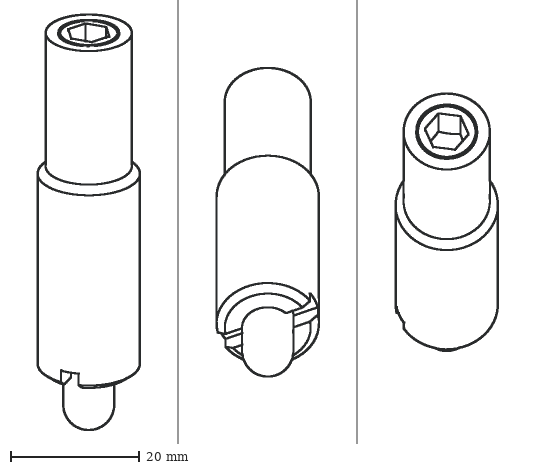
import cadquery as cq
import math

TOTAL_LENGTH = 68.0
TIP_PROTRUSION = 10.0

BODY_DIAMETER = 16.0
NECK_RADIUS = 6.7
NECK_LENGTH = 23.0
BOTTOM_CHAMFER_HEIGHT = 1.0
BOTTOM_CHAMFER_WIDTH = 1.3
SLOT_WIDTH = 3.0
SLOT_DEPTH = 3.0

TIP_RADIUS = 4.0
SCREW_RADIUS = 4.75
SCREW_LENGTH = 50.0
RIM_STEP_WIDTH = 0.3
RIM_STEP_DEPTH = 0.15

HEX_ACROSS_FLATS = 6.0
HEX_DEPTH = 6.0
CONE_ANGLE = 118.0

BODY_RADIUS = BODY_DIAMETER / 2
SHOULDER_WIDTH = BODY_RADIUS - NECK_RADIUS
NECK_BASE_HEIGHT = TOTAL_LENGTH - NECK_LENGTH
SCREW_BASE_HEIGHT = TOTAL_LENGTH - SCREW_LENGTH


def bore():
    """Stepped bore: a close fit around the screw and the tip shank."""
    shank_hole = cq.Workplane("XY").circle(TIP_RADIUS).extrude(SCREW_BASE_HEIGHT)
    screw_hole = (
        cq.Workplane("XY")
        .workplane(offset=SCREW_BASE_HEIGHT)
        .circle(SCREW_RADIUS)
        .extrude(SCREW_LENGTH)
    )
    return shank_hole.union(screw_hole)


def cross_slot():
    """Slot across the bottom of the housing, open towards -Y and +Y."""
    return (
        cq.Workplane("XY")
        .workplane(offset=TIP_PROTRUSION)
        .rect(SLOT_WIDTH, BODY_DIAMETER)
        .extrude(SLOT_DEPTH)
    )


def make_housing():
    """Sleeve with a thinner neck, a conical shoulder and a chamfered bottom."""
    turned = (
        cq.Workplane("XZ")
        .moveTo(0, TIP_PROTRUSION)
        .lineTo(BODY_RADIUS - BOTTOM_CHAMFER_WIDTH, TIP_PROTRUSION)
        .lineTo(BODY_RADIUS, TIP_PROTRUSION + BOTTOM_CHAMFER_HEIGHT)
        .lineTo(BODY_RADIUS, NECK_BASE_HEIGHT - SHOULDER_WIDTH)
        .lineTo(NECK_RADIUS, NECK_BASE_HEIGHT)
        .lineTo(NECK_RADIUS, TOTAL_LENGTH)
        .lineTo(0, TOTAL_LENGTH)
        .close()
        .revolve(360, (0, 0), (0, 1))
    )
    return turned.cut(bore()).cut(cross_slot())


def hex_socket():
    """Hexagonal hole whose floor is a cone, cut to the hexagon's outline."""
    corner_radius = HEX_ACROSS_FLATS / math.sqrt(3)
    cone_depth = corner_radius / math.tan(math.radians(CONE_ANGLE / 2))
    straight_hole = (
        cq.Workplane("XY")
        .workplane(offset=TOTAL_LENGTH - HEX_DEPTH)
        .polygon(6, 2 * corner_radius)
        .extrude(HEX_DEPTH)
    )
    cone = cq.Workplane(
        cq.Solid.makeCone(
            corner_radius,
            0,
            cone_depth,
            pnt=cq.Vector(0, 0, TOTAL_LENGTH - HEX_DEPTH),
            dir=cq.Vector(0, 0, -1),
        )
    )
    cone_in_hexagon = cone.intersect(straight_hole.translate((0, 0, -HEX_DEPTH)))
    return straight_hole.union(cone_in_hexagon)


def make_plunger():
    """Screw with a hexagon socket, a shallow step around its rim and a round-ended shank."""
    arc_middle = TIP_RADIUS * math.sqrt(0.5)
    turned = (
        cq.Workplane("XZ")
        .moveTo(0, 0)
        .threePointArc((arc_middle, TIP_RADIUS - arc_middle), (TIP_RADIUS, TIP_RADIUS))
        .lineTo(TIP_RADIUS, SCREW_BASE_HEIGHT)
        .lineTo(SCREW_RADIUS, SCREW_BASE_HEIGHT)
        .lineTo(SCREW_RADIUS, TOTAL_LENGTH - RIM_STEP_DEPTH)
        .lineTo(SCREW_RADIUS - RIM_STEP_WIDTH, TOTAL_LENGTH - RIM_STEP_DEPTH)
        .lineTo(SCREW_RADIUS - RIM_STEP_WIDTH, TOTAL_LENGTH)
        .lineTo(0, TOTAL_LENGTH)
        .close()
        .revolve(360, (0, 0), (0, 1))
    )
    return turned.cut(hex_socket())


housing = make_housing()
plunger = make_plunger()

result = cq.Compound.makeCompound([housing.val(), plunger.val()])